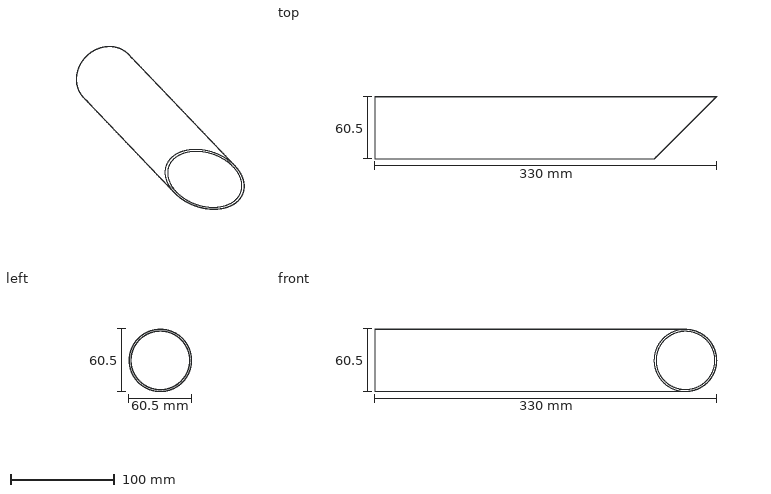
import cadquery as cq

length = 330.0
outer_diameter = 60.5
wall = 2.0

outer_radius = outer_diameter / 2
inner_radius = outer_radius - wall
short_length = length - outer_diameter

tube = cq.Workplane("YZ").circle(outer_radius).circle(inner_radius).extrude(length)

mitre_wedge = (
    cq.Workplane("XY")
    .moveTo(short_length, -outer_radius)
    .lineTo(length, outer_radius)
    .lineTo(length + outer_diameter, -outer_radius)
    .close()
    .extrude(outer_radius, both=True)
)

result = tube.cut(mitre_wedge)